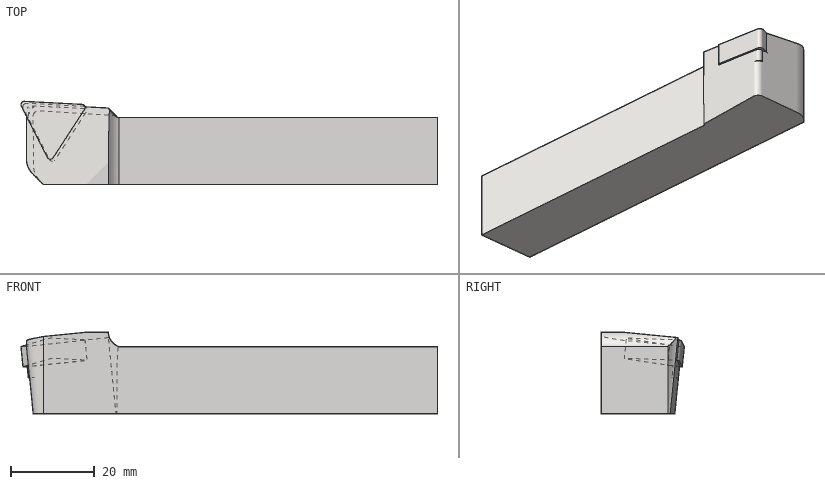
import cadquery as cq
import math

total_length = 99.5
shank_width = 16.0
shank_height = 16.0

head_height = 19.5
ridge_start = 15.7
rake_slope = 0.1

head_left = 1.3
bevel_width = 4.1
bevel_radius = 5.2
head_corner_radius = 1.4
head_shoulder_x = 20.9
head_shoulder_y = 18.3
neck_end_x = 23.5
crown_neck_sag = 0.7
side_neck_sag = 0.3

insert_side = 16.5
insert_thickness = 4.9
nose_radius = 0.8
lead_angle = 3.0
seat_inset = 0.6
seat_thickness = 2.8
prism_depth = 29.8

seat_side = insert_side - 2 * math.sqrt(3) * seat_inset
nose_center_distance = insert_side / math.sqrt(3) - 2 * nose_radius
tip_angle = math.radians(150 - lead_angle)
tip_overhang = 3.9
insert_x = nose_radius - nose_center_distance * math.cos(tip_angle)
insert_y = shank_width + tip_overhang - nose_radius - nose_center_distance * math.sin(tip_angle)

rake_plane = cq.Plane(
    origin=(ridge_start, 0, head_height),
    xDir=(1, 0, rake_slope),
    normal=(-rake_slope, rake_slope, 1),
)


def on_rake(x, y):
    """Return the rake-plane coordinates of the rake-face point above (x, y)."""
    z = head_height + rake_slope * (x - y - ridge_start)
    local = rake_plane.toLocalCoords(cq.Vector(x, y, z))
    return local.x, local.y


def sag_point(start, end, sag):
    """Return the middle of a neck arc that bows toward the -X, lower side of its chord."""
    dx = end[0] - start[0]
    dy = end[1] - start[1]
    chord = math.hypot(dx, dy)
    return (
        (start[0] + end[0]) / 2 + sag * dy / chord,
        (start[1] + end[1]) / 2 - sag * dx / chord,
    )


def triangle_prism(side, top_depth, thickness):
    """Make a rounded triangular prism square to the rake face, top_depth below it."""
    corners = []
    for turn in (0, 120, 240):
        angle = tip_angle + math.radians(turn)
        corners.append(on_rake(
            insert_x + side / math.sqrt(3) * math.cos(angle),
            insert_y + side / math.sqrt(3) * math.sin(angle),
        ))
    return (
        cq.Workplane(rake_plane)
        .workplane(offset=-top_depth)
        .polyline(corners)
        .close()
        .extrude(-thickness)
        .edges(cq.selectors.ParallelDirSelector(rake_plane.zDir))
        .fillet(nose_radius)
    )


def head_prism():
    """Make the head walls, square to the rake face, with both left corners rounded."""
    back_left_y = head_shoulder_y + (head_shoulder_x - head_left) * math.tan(math.radians(lead_angle))
    shoulder = (head_shoulder_x, head_shoulder_y)
    neck_end = (neck_end_x, shank_width)
    back_left = (head_left, back_left_y)
    bevel_top = (head_left, bevel_width)
    below_front = -4.0
    bevel_bottom = (head_left + bevel_width - below_front, below_front)
    prism = (
        cq.Workplane(rake_plane)
        .moveTo(*on_rake(*bevel_bottom))
        .lineTo(*on_rake(neck_end_x, below_front))
        .lineTo(*on_rake(*neck_end))
        .threePointArc(on_rake(*sag_point(shoulder, neck_end, side_neck_sag)), on_rake(*shoulder))
        .lineTo(*on_rake(*back_left))
        .lineTo(*on_rake(*bevel_top))
        .close()
        .extrude(-prism_depth)
    )

    def wall_edge_at(point):
        """Select the wall edge that runs down from a corner of the outline."""
        z = head_height + rake_slope * (point[0] - point[1] - ridge_start)
        middle = cq.Vector(point[0], point[1], z) - rake_plane.zDir * (prism_depth / 2)
        return prism.edges(cq.selectors.NearestToPointSelector(middle.toTuple()))

    prism = wall_edge_at(bevel_top).fillet(bevel_radius)
    return wall_edge_at(back_left).fillet(head_corner_radius)


def head_envelope():
    """Make the block that trims the head: flat crown, concave neck, front and bottom."""
    crown_end = (head_shoulder_x, head_height)
    neck_end = (neck_end_x, shank_height)
    return (
        cq.Workplane("XZ")
        .moveTo(0, 0)
        .lineTo(0, head_height)
        .lineTo(*crown_end)
        .threePointArc(sag_point(crown_end, neck_end, crown_neck_sag), neck_end)
        .lineTo(neck_end_x, 0)
        .close()
        .extrude(-2 * shank_width)
    )


def make_insert():
    return triangle_prism(insert_side, 0, insert_thickness)


def make_holder(insert):
    shank = cq.Workplane("XY").box(
        total_length - head_shoulder_x, shank_width, shank_height, centered=False
    ).translate((head_shoulder_x, 0, 0))
    head = head_prism().intersect(head_envelope())
    seat_pad = triangle_prism(seat_side, insert_thickness, seat_thickness)
    return head.union(shank).union(seat_pad).cut(insert)


insert = make_insert()
holder = make_holder(insert)

result = cq.Compound.makeCompound([holder.val(), insert.val()])